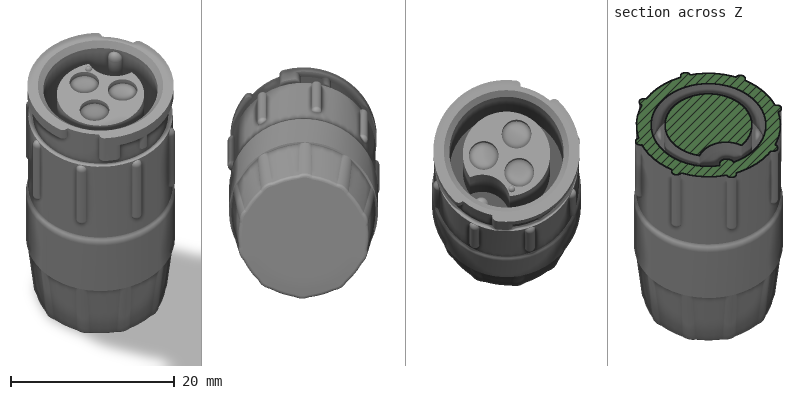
import cadquery as cq
import math

total_height = 35.63
grip_height = 8.87
ring_top = 17.85
sleeve_bottom = 18.03
neck_height = 5.13
flange_thickness = 1.5
lug_height = 4.0

grip_top_radius = 9.01
grip_bottom_radius = 8.11
ring_radius = 9.1
ring_round = 0.93
groove_radius = ring_radius - ring_round
sleeve_radius = 8.83
neck_radius = 8.28
flange_radius = 8.94

panel_count = 10
panel_top_radius = 8.79
panel_bottom_radius = 7.91
ridge_height = 0.17
ridge_top_half_width = 0.76
ridge_bottom_half_width = 0.88
grip_base_round = 0.4

rib_count = 8
rib_radius = 0.65
rib_span = 18.8
rib_axis_radius = rib_span / 2 - rib_radius
rib_length = 10.1
rib_top_gap = 0.1

end_round = flange_radius - neck_radius
notch_half_angle = 18.6
lug_end_angle = 27.4
stop_angle = 54.3
stop_axis_radius = 8.0
stop_radius = 0.66

socket_radius = 6.98
socket_chamfer = 0.67
socket_depth = 10.0

insert_radius = 5.34
insert_recess = 1.53
keyway_radius = 3.45
keyway_axis_y = 6.75
contact_hole_radius = 1.81
contact_circle_radius = 2.79
contact_hole_depth = 0.75
contact_count = 3
dot_radius = 0.41
dot_position = (-2.51, 3.69)

key_radius = 0.89
key_shoulder_depth = 1.97

sleeve_top = total_height - neck_height
insert_top = total_height - insert_recess
key_shoulder_z = total_height - key_shoulder_depth
socket_floor = total_height - socket_depth
flange_bottom = total_height - flange_thickness
lug_bottom = total_height - lug_height


def cylinder(radius, bottom, top, x=0, y=0):
    """Upright cylinder between two heights."""
    return cq.Workplane("XY", origin=(x, y, bottom)).circle(radius).extrude(top - bottom)


def sphere(radius, x, y, z):
    return cq.Workplane("XY", origin=(x, y, z)).sphere(radius)


def polar(radius, angle):
    """Point at an angle in degrees, counted from -Y towards +X."""
    turn = math.radians(angle)
    return (radius * math.sin(turn), -radius * math.cos(turn))


def grip_section(height, crest_radius, panel_radius, ridge_half_width):
    """Closed outline of the grip at one height, with a ridge crest at -Y."""
    pitch = 360 / panel_count
    edge_radius = crest_radius - ridge_height
    edge_angle = math.degrees(math.asin(ridge_half_width / edge_radius))
    outline = cq.Workplane("XY", origin=(0, 0, height)).moveTo(*polar(edge_radius, -edge_angle))
    for index in range(panel_count):
        crest_angle = index * pitch
        next_crest_angle = crest_angle + pitch
        outline = outline.threePointArc(
            polar(crest_radius, crest_angle),
            polar(edge_radius, crest_angle + edge_angle),
        ).threePointArc(
            polar(panel_radius, crest_angle + pitch / 2),
            polar(edge_radius, next_crest_angle - edge_angle),
        )
    return outline.close().val()


def grip():
    """Tapered ridged grip with a rounded base edge."""
    base = grip_section(0, grip_bottom_radius, panel_bottom_radius, ridge_bottom_half_width)
    top = grip_section(grip_height, grip_top_radius, panel_top_radius, ridge_top_half_width)
    body = cq.Workplane(cq.Solid.makeLoft([base, top], True))
    return body.faces("<Z").edges().fillet(grip_base_round)


def turned_body():
    """Ring, groove, sleeve and neck."""
    ring = cylinder(ring_radius, grip_height, ring_top).faces(">Z").edges().fillet(ring_round)
    groove = cylinder(groove_radius, ring_top, sleeve_bottom)
    sleeve = cylinder(sleeve_radius, sleeve_bottom, sleeve_top)
    neck = cylinder(neck_radius, sleeve_top, total_height)
    return ring.union(groove).union(sleeve).union(neck)


def rib(angle):
    """Round rib with ball ends."""
    x, y = polar(rib_axis_radius, angle)
    top = sleeve_top - rib_top_gap - rib_radius
    bottom = top - rib_length + 2 * rib_radius
    bar = cylinder(rib_radius, bottom, top, x, y)
    return bar.union(sphere(rib_radius, x, y, bottom)).union(sphere(rib_radius, x, y, top))


def collar_sector(start, end, bottom):
    """Part of the flange ring between two angles, with full-round ends."""
    middle = (start + end) / 2
    inner_radius = socket_radius + socket_chamfer
    sector = (
        cq.Workplane("XY", origin=(0, 0, bottom))
        .moveTo(*polar(inner_radius, start))
        .lineTo(*polar(flange_radius, start))
        .threePointArc(polar(flange_radius, middle), polar(flange_radius, end))
        .lineTo(*polar(inner_radius, end))
        .threePointArc(polar(inner_radius, middle), polar(inner_radius, start))
        .close()
        .extrude(total_height - bottom)
    )
    for angle in (start, end):
        x, y = polar(neck_radius, angle)
        sector = sector.union(cylinder(end_round, bottom, total_height, x, y))
    return sector


def bayonet_half(turn):
    """Half flange, the deep lug beside its notch and the stop pin."""
    flange = collar_sector(turn + notch_half_angle, turn + 180 - notch_half_angle, flange_bottom)
    lug = collar_sector(turn + notch_half_angle, turn + lug_end_angle, lug_bottom)
    x, y = polar(stop_axis_radius, turn + stop_angle)
    stop = cylinder(stop_radius, lug_bottom, flange_bottom, x, y)
    return flange.union(lug).union(stop)


def socket():
    """Round socket with a chamfered mouth, as a cutting body."""
    bore = cylinder(socket_radius, socket_floor, total_height)
    mouth = (
        cq.Workplane("XY", origin=(0, 0, total_height - socket_chamfer))
        .circle(socket_radius)
        .workplane(offset=socket_chamfer)
        .circle(socket_radius + socket_chamfer)
        .loft()
    )
    return bore.union(mouth)


def insert():
    """Contact carrier with a round keyway, three contact holes and a marker dot."""
    body = cylinder(insert_radius, socket_floor, insert_top)
    body = body.cut(cylinder(keyway_radius, socket_floor, insert_top, 0, keyway_axis_y))
    for index in range(contact_count):
        x, y = polar(contact_circle_radius, index * 360 / contact_count)
        body = body.cut(cylinder(contact_hole_radius, insert_top - contact_hole_depth, insert_top, x, y))
    return body.union(sphere(dot_radius, *dot_position, insert_top))


def key_post():
    """Ball-ended key half sunk in the socket wall."""
    post = cylinder(key_radius, socket_floor, key_shoulder_z, 0, socket_radius)
    return post.union(sphere(key_radius, 0, socket_radius, key_shoulder_z))


result = turned_body().union(grip())
for index in range(rib_count):
    result = result.union(rib(index * 360 / rib_count))
for turn in (0, 180):
    result = result.union(bayonet_half(turn))
result = result.cut(socket()).union(insert()).union(key_post())